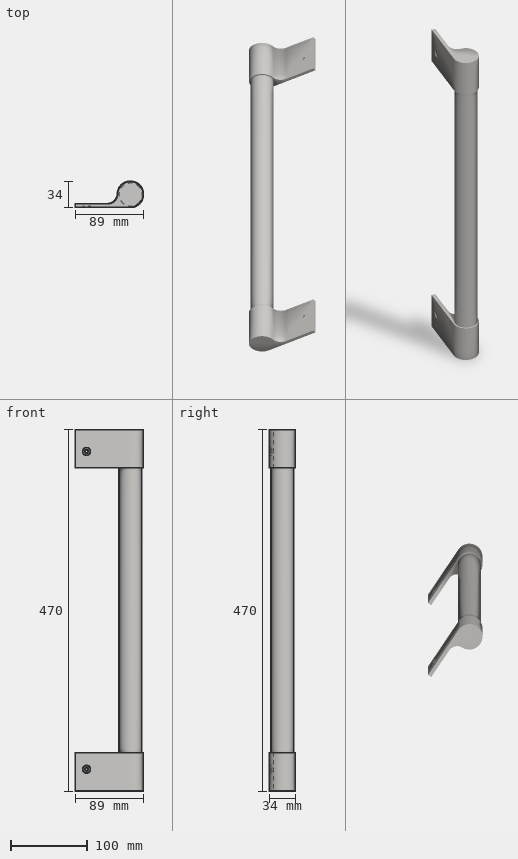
import cadquery as cq
import math

overall_width = 88.95
overall_height = 470.0

bracket_height = 50.0
holder_radius = 17.0
plate_thickness = 5.0
blend_radius = 12.5

grip_diameter = 29.9
grip_length = overall_height - 2 * bracket_height

screw_diameter = 4.0
screw_head_diameter = 10.0
screw_head_depth = 2.0
screw_edge_distance = 15.0
screw_grip_side_distance = 21.5

plate_front_y = -holder_radius
plate_back_y = plate_front_y + plate_thickness
plate_end_x = holder_radius - overall_width
screw_x = plate_end_x + screw_edge_distance
screw_z = grip_length / 2 + screw_grip_side_distance


def bracket_blank():
    """Upper bracket without its screw hole, standing on the end of the grip."""
    blend_center_y = plate_back_y + blend_radius
    center_distance = holder_radius + blend_radius
    blend_angle = math.asin(blend_center_y / center_distance)
    blend_center_x = -center_distance * math.cos(blend_angle)
    blend_end = (-holder_radius * math.cos(blend_angle), holder_radius * math.sin(blend_angle))
    middle_angle = (math.pi / 2 - blend_angle) / 2
    blend_mid = (
        blend_center_x + blend_radius * math.sin(middle_angle),
        blend_center_y - blend_radius * math.cos(middle_angle),
    )
    return (
        cq.Workplane("XY")
        .workplane(offset=grip_length / 2)
        .moveTo(plate_end_x, plate_front_y)
        .lineTo(0, plate_front_y)
        .threePointArc((holder_radius, 0), blend_end)
        .threePointArc(blend_mid, (blend_center_x, plate_back_y))
        .lineTo(plate_end_x, plate_back_y)
        .close()
        .extrude(bracket_height)
    )


def make_upper_bracket():
    """Bracket with a screw hole counterbored from the flat front face."""
    front_face = cq.Plane(
        origin=(screw_x, plate_front_y, screw_z), xDir=(1, 0, 0), normal=(0, -1, 0)
    )
    return (
        bracket_blank()
        .copyWorkplane(cq.Workplane(front_face))
        .cboreHole(screw_diameter, screw_head_diameter, screw_head_depth, depth=plate_thickness)
    )


def make_grip():
    """Round bar between the two brackets."""
    return (
        cq.Workplane("XY")
        .workplane(offset=-grip_length / 2)
        .circle(grip_diameter / 2)
        .extrude(grip_length)
    )


upper_bracket = make_upper_bracket()
lower_bracket = upper_bracket.mirror("XY")
grip = make_grip()

result = cq.Compound.makeCompound([upper_bracket.val(), lower_bracket.val(), grip.val()])